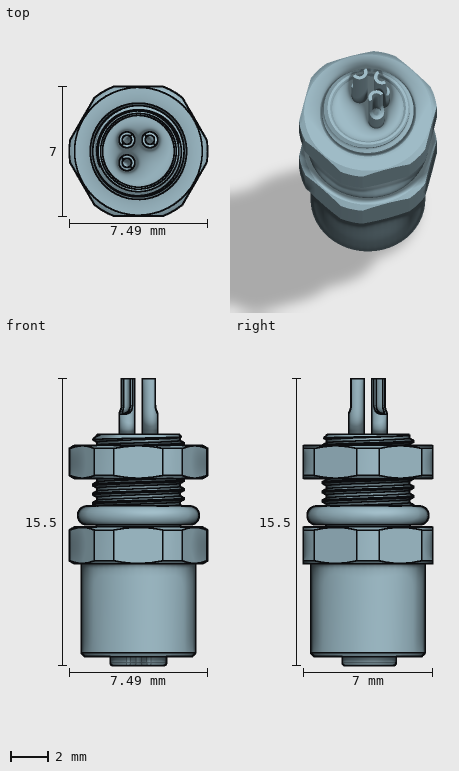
import cadquery as cq
import math

total_height = 15.5
body_bottom = 0.5
flange_bottom = 5.5
flange_thickness = 2.0
nut_bottom = 10.1
nut_thickness = 1.8
thread_bottom = 8.57
thread_top = 12.51
flange_top = flange_bottom + flange_thickness
nut_top = nut_bottom + nut_thickness

joint_overlap = 0.15

body_diameter = 6.2
body_chamfer = 0.2

hex_across_flats = 7.0
hex_corner_diameter = 7.49
hex_face_diameter = 6.9
hex_chamfer_angle = 30.0
nut_countersink_diameter = 5.21

neck_diameter = 4.55
ring_cord = 1.02
ring_center_radius = 2.77
ring_height = 8.12

thread_major_diameter = 4.93
thread_core_diameter = 4.5
thread_pitch = 0.5
thread_crest_width = 0.08
thread_flank_angle = 30.0
thread_start = 8.03
thread_turns = 10
thread_overlap = 0.06
rim_diameter = 4.35

recess_depth = 0.3
recess_diameter = 3.88
recess_fillet = 0.2
recess_chamfer = 0.11
recess_floor = thread_top - recess_depth

cup_diameter = 0.85
cup_bore = 0.5
cup_offset = 0.62
cup_cut_radius = 0.5
cup_cut_bottom = 13.56
cup_positions = [(-1, -1), (-1, 1), (1, 1)]
drill_point_angle = 118.0

plug_diameter = 3.05
plug_edge_fillet = 0.19
groove_apex_radius = 0.9
groove_corner_radius = 0.2


def cylinder(diameter, bottom, top):
    return cq.Workplane("XY").workplane(offset=bottom).circle(diameter / 2).extrude(top - bottom)


def chamfered_hexagon(bottom, thickness):
    """Hexagonal prism whose corners are rounded to a cylinder and coned off at both ends."""
    corner_radius = hex_corner_diameter / 2
    face_radius = hex_face_diameter / 2
    drop = (corner_radius - face_radius) * math.tan(math.radians(hex_chamfer_angle))
    across_corners = hex_across_flats / math.cos(math.pi / 6)
    prism = cq.Workplane("XY").workplane(offset=bottom).polygon(6, across_corners).extrude(thickness)
    envelope = (
        cq.Workplane("XZ", origin=(0, 0, bottom))
        .polyline([
            (0, 0),
            (face_radius, 0),
            (corner_radius, drop),
            (corner_radius, thickness - drop),
            (face_radius, thickness),
            (0, thickness),
        ])
        .close()
        .revolve(360, (0, 0, 0), (0, 1, 0))
    )
    return prism.intersect(envelope)


def make_nut():
    """Nut with a 45 degree countersink at both ends of its bore."""
    outer_radius = nut_countersink_diameter / 2
    inner_radius = thread_core_diameter / 2 - thread_overlap
    depth = outer_radius - inner_radius
    nut = chamfered_hexagon(nut_bottom, nut_thickness)
    for face, direction in ((nut_bottom, 1), (nut_top, -1)):
        cone = cq.Solid.makeCone(
            outer_radius, inner_radius, depth, cq.Vector(0, 0, face), cq.Vector(0, 0, direction)
        )
        nut = nut.cut(cq.Workplane(obj=cone))
    return nut


def make_ring():
    """O-ring whose circular section starts at its inner side, so the outside has no seam."""
    section = cq.Plane(origin=(ring_center_radius, 0, ring_height), xDir=(-1, 0, 0), normal=(0, 1, 0))
    return (
        cq.Workplane(section)
        .circle(ring_cord / 2)
        .revolve(360, (ring_center_radius, 0, 0), (ring_center_radius, 1, 0))
    )


def make_thread():
    """Helical ridge, limited by the major diameter and the 45 degree lead-in at the top."""
    core_radius = thread_core_diameter / 2
    major_radius = thread_major_diameter / 2
    root_radius = core_radius - thread_overlap
    slope = math.tan(math.radians(thread_flank_angle))
    half_crest = thread_crest_width / 2
    half_root = half_crest + (major_radius - root_radius) * slope
    helix = cq.Wire.makeHelix(
        thread_pitch, thread_turns * thread_pitch, root_radius, cq.Vector(0, 0, thread_start)
    )
    ridge = (
        cq.Workplane("XZ", origin=(0, 0, thread_start))
        .polyline([
            (root_radius, -half_root),
            (major_radius, -half_crest),
            (major_radius, half_crest),
            (root_radius, half_root),
        ])
        .close()
        .sweep(cq.Workplane(obj=helix), isFrenet=True)
    )
    helix_top = thread_start + thread_turns * thread_pitch
    core = cylinder(thread_core_diameter, thread_start - thread_pitch, helix_top + thread_pitch)
    rim_radius = rim_diameter / 2
    limit_radius = major_radius + thread_overlap
    envelope = (
        cq.Workplane("XZ")
        .polyline([
            (0, thread_bottom),
            (limit_radius, thread_bottom),
            (limit_radius, thread_top - (limit_radius - rim_radius)),
            (rim_radius, thread_top),
            (0, thread_top),
        ])
        .close()
        .revolve(360, (0, 0, 0), (0, 1, 0))
    )
    return core.union(ridge).intersect(envelope)


def make_recess():
    """Round pocket with a rounded floor edge and a chamfered mouth."""
    pocket = cylinder(recess_diameter, recess_floor, thread_top).faces("<Z").edges().fillet(recess_fillet)
    recess_radius = recess_diameter / 2
    mouth = cq.Solid.makeCone(
        recess_radius + recess_chamfer,
        recess_radius,
        recess_chamfer,
        cq.Vector(0, 0, thread_top),
        cq.Vector(0, 0, -1),
    )
    return pocket.union(cq.Workplane(obj=mouth))


def make_solder_cup(x_side, y_side):
    """Drilled pin, cut open to its axis on the side facing away from the connector axis."""
    bore_radius = cup_bore / 2
    point_depth = bore_radius / math.tan(math.radians(drill_point_angle / 2))
    pin = cylinder(cup_diameter, recess_floor - joint_overlap, total_height)
    pin = pin.cut(cylinder(cup_bore, cup_cut_bottom, total_height))
    point = cq.Solid.makeCone(
        bore_radius, 0, point_depth, cq.Vector(0, 0, cup_cut_bottom), cq.Vector(0, 0, -1)
    )
    pin = pin.cut(cq.Workplane(obj=point))

    cut_top = cup_cut_bottom + cup_cut_radius
    opening = (
        cq.Workplane("XZ")
        .moveTo(0, total_height)
        .lineTo(0, cut_top)
        .radiusArc((cup_cut_radius, cup_cut_bottom), -cup_cut_radius)
        .lineTo(cup_cut_radius, total_height)
        .close()
        .extrude(cup_diameter / 2, both=True)
    )
    facing = math.degrees(math.atan2(y_side, x_side))
    pin = pin.cut(opening).rotate((0, 0, 0), (0, 0, 1), facing)
    return pin.translate((x_side * cup_offset, y_side * cup_offset, 0))


def make_plug():
    plug = cylinder(plug_diameter, 0, body_bottom + joint_overlap)
    reach = plug_diameter / 2
    groove = (
        cq.Workplane("XY")
        .polyline([
            (0, -groove_apex_radius),
            (reach, -groove_apex_radius - reach),
            (-reach, -groove_apex_radius - reach),
        ])
        .close()
        .extrude(body_bottom + joint_overlap)
    )
    groove_edges = cq.selectors.BoxSelector(
        (-reach, -reach, 0), (reach, -groove_apex_radius / 2, body_bottom)
    )
    plug = plug.cut(groove).edges("|Z").edges(groove_edges).fillet(groove_corner_radius)
    return plug.faces("<Z").edges().fillet(plug_edge_fillet)


body = cylinder(body_diameter, body_bottom, flange_bottom).faces("<Z").edges().chamfer(body_chamfer)
flange = chamfered_hexagon(flange_bottom, flange_thickness)
neck = cylinder(neck_diameter, flange_top, thread_bottom)
ring = make_ring()

result = make_thread().union(make_nut()).cut(make_recess())
for solid in (neck, ring, flange, body, make_plug()):
    result = result.union(solid)
for x_side, y_side in cup_positions:
    result = result.union(make_solder_cup(x_side, y_side))